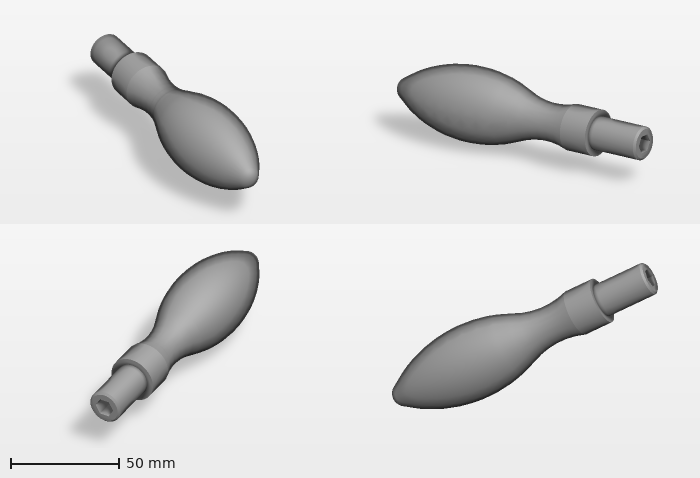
import cadquery as cq
import math

total_length = 138.0
stem_length = 26.0
collar_end = 40.0
waist_x = 52.5
belly_start = 68.7
belly_peak_x = 95.9
nose_start = 134.7

stem_radius = 8.0
collar_radius = 11.0
waist_radius = 9.0
belly_start_radius = 12.4
belly_peak_radius = 18.0
nose_start_radius = 5.4
stem_chamfer = 1.0

socket_across_flats = 8.0
socket_depth = 8.0
drill_point_angle = 118.0


def turned_body():
    """Revolve the stem, collar, waist, belly and rounded nose about X."""
    nose_height = total_length - nose_start
    nose_radius = (nose_start_radius**2 + nose_height**2) / (2 * nose_height)
    nose_center = total_length - nose_radius
    half_angle = math.atan2(nose_start_radius, nose_start - nose_center) / 2
    nose_middle = (
        nose_center + nose_radius * math.cos(half_angle),
        nose_radius * math.sin(half_angle),
    )
    return (
        cq.Workplane("XY")
        .lineTo(0, stem_radius - stem_chamfer)
        .lineTo(stem_chamfer, stem_radius)
        .lineTo(stem_length, stem_radius)
        .lineTo(stem_length, collar_radius)
        .lineTo(collar_end, collar_radius)
        .threePointArc((waist_x, waist_radius), (belly_start, belly_start_radius))
        .threePointArc((belly_peak_x, belly_peak_radius), (nose_start, nose_start_radius))
        .threePointArc(nose_middle, (total_length, 0))
        .close()
        .revolve(360, (0, 0, 0), (1, 0, 0))
    )


def hex_socket():
    """Hexagonal hole with corners along Y, ending in a conical drill point."""
    corner_radius = socket_across_flats / math.sqrt(3)
    point_depth = corner_radius / math.tan(math.radians(drill_point_angle / 2))
    full_depth = socket_depth + point_depth
    hexagon = cq.Workplane("YZ").polygon(6, 2 * corner_radius).extrude(full_depth)
    pointed_drill = (
        cq.Workplane("XY")
        .lineTo(0, corner_radius)
        .lineTo(socket_depth, corner_radius)
        .lineTo(full_depth, 0)
        .close()
        .revolve(360, (0, 0, 0), (1, 0, 0))
    )
    return hexagon.intersect(pointed_drill)


result = turned_body().cut(hex_socket())